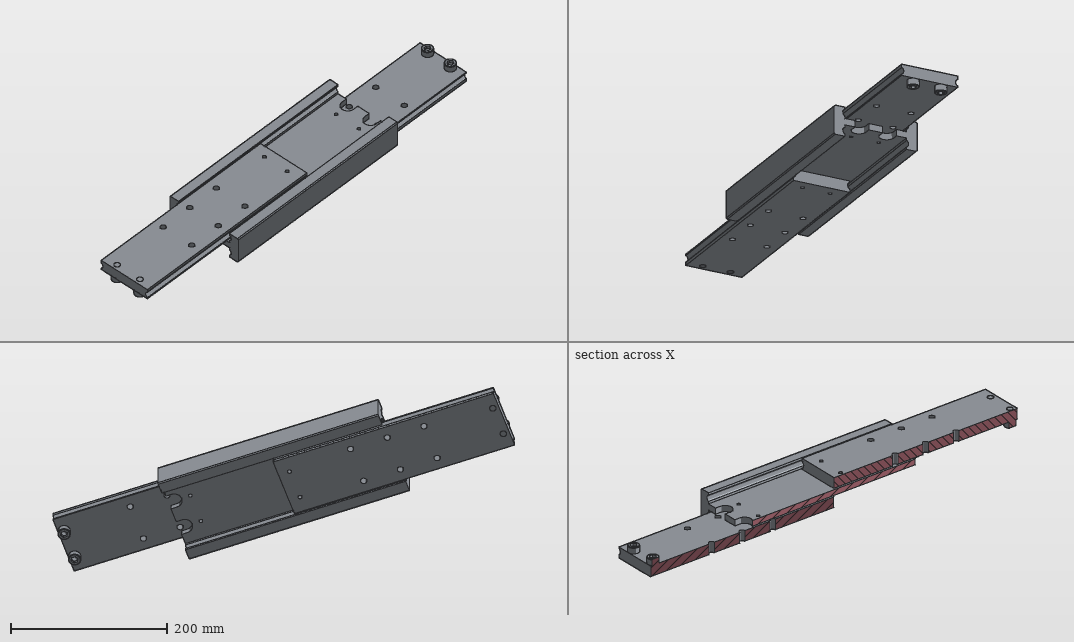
import cadquery as cq

rail_length = 300.0
housing_length = 300.0
half_height = 22.0

housing_width = 120.0
housing_height = 41.0
housing_chamfer = 1.5
web_thickness = 9.0
channel_width = 89.0

rail_width = 81.0
rail_bottom = 6.0
rail_thickness = half_height - rail_bottom

track_radius = 5.0
track_x = (channel_width + rail_width) / 4
track_z = 12.6

screw_x = 20.0
screw_end_distance = 8.0
screw_y = rail_length - screw_end_distance
head_diameter = 2 * screw_end_distance
head_height = 9.0
head_chamfer = 0.8
socket_across_flats = 8.0
socket_depth = 4.0
socket_cone_depth = 2.3
hexagon_corner_ratio = 2 / 3 ** 0.5
screw_tip_diameter = 8.5
screw_tip_recess = 0.5

mounting_hole_diameter = 8.0
mounting_hole_x = 25.0
mounting_hole_ys = (100.0, 150.0, 200.0)
rail_small_hole_diameter = 5.0
rail_small_hole_y = 15.0

slot_width = 20.0
slot_end_y = screw_y - rail_length / 2
web_hole_diameter = 4.5
web_hole_y = 120.0


def mirrored_points(x, y):
    """The two points at +x and -x."""
    return [(-x, y), (x, y)]


def ball_tracks(length, y_start, z):
    """A pair of round bars along Y that cut the ball tracks at height z."""
    return (
        cq.Workplane("XZ", origin=(0, y_start, 0))
        .pushPoints(mirrored_points(track_x, z))
        .circle(track_radius)
        .extrude(-length)
    )


def make_housing():
    y_start = -housing_length / 2
    channel_depth = (housing_height - web_thickness) / 2
    body = (
        cq.Workplane("XY")
        .box(housing_width, housing_length, housing_height)
        .edges("|Y")
        .chamfer(housing_chamfer)
    )
    for side in (-1, 1):
        channel_z = side * (web_thickness + channel_depth) / 2
        channel = cq.Workplane("XY", origin=(0, 0, channel_z)).box(
            channel_width, housing_length, channel_depth
        )
        tracks = ball_tracks(housing_length, y_start, side * track_z)
        body = body.cut(channel).cut(tracks)

    web = cq.Workplane("XY", origin=(0, 0, -web_thickness / 2))
    slot_centre_distance = 2 * (housing_length / 2 - slot_end_y)
    for end in (-1, 1):
        slots = (
            web.pushPoints(mirrored_points(screw_x, end * housing_length / 2))
            .slot2D(slot_centre_distance + slot_width, slot_width, 90)
            .extrude(web_thickness)
        )
        holes = (
            web.pushPoints(mirrored_points(screw_x, end * web_hole_y))
            .circle(web_hole_diameter / 2)
            .extrude(web_thickness)
        )
        body = body.cut(slots).cut(holes)
    return body


def make_socket():
    """Hexagon socket with two corners along Y and a conical end, opening downwards at the origin."""
    hexagon = (
        cq.Workplane("XY")
        .polygon(6, socket_across_flats * hexagon_corner_ratio)
        .extrude(socket_depth)
        .rotate((0, 0, 0), (0, 0, 1), 90)
    )
    cone = cq.Solid.makeCone(
        socket_across_flats / 2, 0, socket_cone_depth, pnt=cq.Vector(0, 0, socket_depth)
    )
    return hexagon.union(cq.Workplane(cone))


def make_upper_rail():
    """Rail over the -Y half, with its stop screw heads hanging below it."""
    body = cq.Workplane("XY", origin=(0, 0, rail_bottom)).box(
        rail_width, rail_length, rail_thickness, centered=(True, True, False)
    ).translate((0, -rail_length / 2, 0))
    body = body.cut(ball_tracks(rail_length, -rail_length, track_z))

    bottom = cq.Workplane("XY", origin=(0, 0, rail_bottom))
    for y in mounting_hole_ys:
        holes = (
            bottom.pushPoints(mirrored_points(mounting_hole_x, -y))
            .circle(mounting_hole_diameter / 2)
            .extrude(rail_thickness)
        )
        body = body.cut(holes)
    small_holes = (
        bottom.pushPoints(mirrored_points(screw_x, -rail_small_hole_y))
        .circle(rail_small_hole_diameter / 2)
        .extrude(rail_thickness)
    )
    body = body.cut(small_holes)

    screw_points = mirrored_points(screw_x, -screw_y)
    heads = (
        bottom.pushPoints(screw_points)
        .circle(head_diameter / 2)
        .extrude(-head_height)
        .faces("<Z")
        .edges()
        .chamfer(head_chamfer)
    )
    tip_recesses = (
        cq.Workplane("XY", origin=(0, 0, half_height))
        .pushPoints(screw_points)
        .circle(screw_tip_diameter / 2)
        .extrude(-screw_tip_recess)
    )
    body = body.union(heads).cut(tip_recesses)
    for x, y in screw_points:
        body = body.cut(make_socket().translate((x, y, rail_bottom - head_height)))
    return body


def make_lower_rail():
    """The same rail turned half a turn about the X axis."""
    return make_upper_rail().rotate((0, 0, 0), (1, 0, 0), 180)


housing = make_housing()
upper_rail = make_upper_rail()
lower_rail = make_lower_rail()

result = cq.Compound.makeCompound([housing.val(), upper_rail.val(), lower_rail.val()])